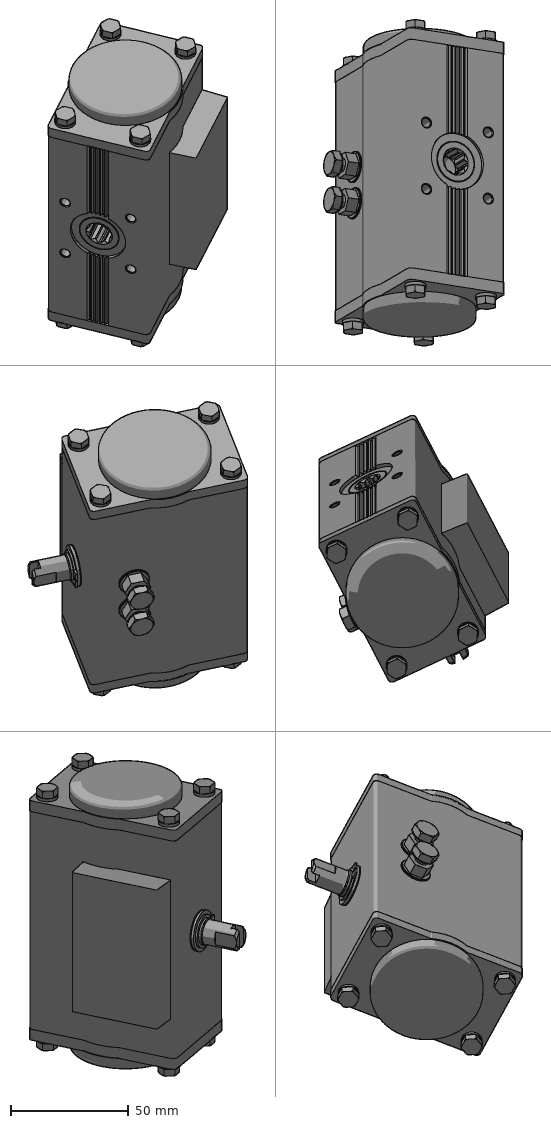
import cadquery as cq
import math


half_width = 23.1
half_depth = 35.0
lobe_radius = 24.6
housing_half_height = 51.1
housing_corner = 2.2
lobe_blend = 2.5

spigot_diameter = 25.0
spigot_depth = 1.5
groove_mouth_width = 1.7
groove_floor_width = 0.6
groove_depth = 1.1
groove_pitch = 2.0
groove_count = 5
mount_offset = 14.8
mount_diameter = 4.1
mount_mouth_diameter = 4.9
mount_depth = 10.0
drill_tip_angle = 118.0

cap_thickness = 5.1
cap_corner = 1.9
dome_radius = 24.1
dome_rim_height = 3.7
dome_edge_radius = 22.7
dome_flat_radius = 19.0
crown_rise = 0.5
overall_half_height = 62.4
bolt_x = 17.0
bolt_y = 28.9
bolt_flange_diameter = 9.0
bolt_flange_thickness = 1.4
bolt_head_flats = 8.0
bolt_head_height = 3.4
bolt_crown_diameter = 8.6

pinion_diameter = 18.0
pinion_collar_diameter = 18.2
pinion_neck_diameter = 17.5
pinion_end_chamfer = 0.2
neck_width = 0.4
pinion_shoulder_y = 36.8
journal_diameter = 12.0
journal_end_y = 39.2
journal_chamfer = 0.5
cone_base_diameter = 11.2
cone_end_y = 39.9
stem_diameter = 10.8
stem_end_y = 55.0
stem_chamfer = 1.0
stem_flats = 9.0
flats_start_y = 45.0
slot_width = 4.0
slot_depth = 3.9
socket_diameter = 12.0
socket_square = 9.0
socket_drill_diameter = 10.0
socket_depth = 10.0
socket_countersink = 1.0

circlip_outer_diameter = 14.7
circlip_inner_diameter = 10.8
circlip_thickness = 0.9
circlip_ear_reach = 9.0
circlip_ear_half_span = 4.1
circlip_gap = 0.9

block_outer_x = 34.9
block_half_height = 32.7
block_base_y = (-8.7, 32.8)
block_foot_width = 0.7
block_foot_flare = 0.2
block_outer_y = (-8.2, 32.0)
block_edge_radius = 0.5

screw_y = 15.8
screw_z = 8.1
screw_washer_diameter = 13.5
screw_washer_chamfer = 0.2
screw_washer_thickness = 0.7
screw_hex_flats = 10.0
nut_thickness = 5.1
shank_diameter = 6.0
shank_length = 2.1
screw_collar_thickness = 0.5
screw_head_thickness = 3.7
screw_face_diameter = 10.0
hex_edge_rise = 0.5


def corner_diameter(flats):
    return flats / math.cos(math.pi / 6)


def front_plane(y):
    """Workplane at the given Y, extruding toward +Y, with local x = X and local y = -Z."""
    return cq.Workplane("XZ", origin=(0, y, 0)).transformed(rotate=(180, 0, 0))


def body_outline(height, corner):
    """Rounded rectangle merged with the round cylinder wall, extruded up from Z = 0."""
    box = cq.Workplane("XY").rect(2 * half_width, 2 * half_depth).extrude(height)
    box = box.edges("|Z").fillet(corner)
    return box.union(cq.Workplane("XY").circle(lobe_radius).extrude(height))


def drill_tip(diameter):
    return diameter / 2 / math.tan(math.radians(drill_tip_angle / 2))


def mounting_hole(face_y):
    """Cutter for one blind hole with a countersunk mouth, around the Y axis."""
    mouth = mount_mouth_diameter / 2
    bore = mount_diameter / 2
    bottom = face_y + mount_depth
    return (
        cq.Workplane("XY")
        .polyline([
            (0, face_y),
            (mouth, face_y),
            (bore, face_y + mouth - bore),
            (bore, bottom),
            (0, bottom + drill_tip(mount_diameter)),
        ])
        .close()
        .revolve(360, (0, 0, 0), (0, 1, 0))
    )


def make_housing():
    height = 2 * housing_half_height
    body = body_outline(height, housing_corner).translate((0, 0, -housing_half_height))
    lobe_half_chord = math.sqrt(lobe_radius**2 - half_width**2)
    for x in (-half_width, half_width):
        for y in (-lobe_half_chord, lobe_half_chord):
            body = body.edges(cq.selectors.NearestToPointSelector((x, y, 0))).fillet(lobe_blend)

    groove = (
        cq.Workplane("XY", origin=(0, -half_depth, -housing_half_height))
        .polyline([
            (-groove_mouth_width / 2, 0),
            (groove_mouth_width / 2, 0),
            (groove_floor_width / 2, groove_depth),
            (-groove_floor_width / 2, groove_depth),
        ])
        .close()
        .extrude(height)
    )
    for i in range(groove_count):
        x = (i - (groove_count - 1) / 2) * groove_pitch
        body = body.cut(groove.translate((x, 0, 0)))

    body = body.cut(front_plane(-half_depth).circle(spigot_diameter / 2).extrude(spigot_depth))
    body = body.cut(front_plane(-half_depth).circle(pinion_diameter / 2).extrude(2 * half_depth))

    hole = mounting_hole(-half_depth)
    for x in (-mount_offset, mount_offset):
        for z in (-mount_offset, mount_offset):
            body = body.cut(hole.translate((x, 0, z)))
    return body


def hex_head(flats, height, face_diameter):
    """Hexagon from Z = 0 up, corners on X, corners turned down at the upper end."""
    corner = corner_diameter(flats) / 2
    head = cq.Workplane("XY").polygon(6, 2 * corner).extrude(height)
    envelope = (
        cq.Workplane("XZ")
        .polyline([
            (0, 0),
            (corner, 0),
            (corner, height - hex_edge_rise),
            (face_diameter / 2, height),
            (0, height),
        ])
        .close()
        .revolve(360, (0, 0, 0), (0, 1, 0))
    )
    return head.intersect(envelope)


def make_upper_cap():
    plate_top = housing_half_height + cap_thickness
    plate = body_outline(cap_thickness, cap_corner).translate((0, 0, housing_half_height))

    rim_top = plate_top + dome_rim_height
    crown_start = overall_half_height - crown_rise
    mid = math.sin(math.pi / 4)
    dome = (
        cq.Workplane("XZ")
        .moveTo(0, housing_half_height)
        .lineTo(dome_radius, housing_half_height)
        .lineTo(dome_radius, rim_top)
        .threePointArc(
            (dome_edge_radius + (dome_radius - dome_edge_radius) * mid,
             rim_top + (crown_start - rim_top) * mid),
            (dome_edge_radius, crown_start))
        .lineTo(dome_flat_radius, overall_half_height)
        .lineTo(0, overall_half_height)
        .close()
        .revolve(360, (0, 0, 0), (0, 1, 0))
    )
    cap = plate.union(dome)

    flange = cq.Workplane("XY").circle(bolt_flange_diameter / 2).extrude(bolt_flange_thickness)
    head = hex_head(bolt_head_flats, bolt_head_height, bolt_crown_diameter)
    bolt = flange.union(head.translate((0, 0, bolt_flange_thickness)))
    for x in (-bolt_x, bolt_x):
        for y in (-bolt_y, bolt_y):
            cap = cap.union(bolt.translate((x, y, plate_top)))
    return cap


def make_pinion():
    floor_y = spigot_depth - half_depth
    outer = pinion_diameter / 2
    collar = pinion_collar_diameter / 2
    neck = pinion_neck_diameter / 2
    journal = journal_diameter / 2
    groove = circlip_inner_diameter / 2
    stem = stem_diameter / 2
    groove_end_y = pinion_shoulder_y + circlip_thickness
    pinion = (
        cq.Workplane("XY")
        .polyline([
            (0, floor_y),
            (outer - pinion_end_chamfer, floor_y),
            (outer, floor_y + pinion_end_chamfer),
            (outer, half_depth),
            (neck, half_depth),
            (neck, half_depth + neck_width),
            (collar, half_depth + neck_width),
            (collar, pinion_shoulder_y),
            (groove, pinion_shoulder_y),
            (groove, groove_end_y),
            (journal, groove_end_y),
            (journal, journal_end_y - journal_chamfer),
            (journal - journal_chamfer / 2, journal_end_y),
            (cone_base_diameter / 2, journal_end_y),
            (stem, cone_end_y),
            (stem, stem_end_y - stem_chamfer),
            (stem - stem_chamfer, stem_end_y),
            (0, stem_end_y),
        ])
        .close()
        .revolve(360, (0, 0, 0), (0, 1, 0))
    )

    flats_length = stem_end_y - flats_start_y
    flats_blank = front_plane(flats_start_y).rect(stem_flats, stem_diameter).extrude(flats_length)
    flats_zone = front_plane(flats_start_y).rect(2 * stem_diameter, 2 * stem_diameter).extrude(flats_length)
    pinion = pinion.cut(flats_zone.cut(flats_blank))
    slot = front_plane(stem_end_y - slot_depth).rect(slot_width, 2 * stem_diameter).extrude(slot_depth)
    pinion = pinion.cut(slot)

    mouth = front_plane(floor_y)
    square = mouth.rect(socket_square, socket_square).extrude(socket_depth)
    star = square.union(square.rotate((0, 0, 0), (0, 1, 0), 45))
    star = star.intersect(mouth.circle(socket_diameter / 2).extrude(socket_depth))
    drill = socket_drill_diameter / 2
    bottom_y = floor_y + socket_depth
    pilot = (
        cq.Workplane("XY")
        .polyline([
            (0, floor_y),
            (drill + socket_countersink, floor_y),
            (drill, floor_y + socket_countersink),
            (drill, bottom_y),
            (0, bottom_y + drill_tip(socket_drill_diameter)),
        ])
        .close()
        .revolve(360, (0, 0, 0), (0, 1, 0))
    )
    return pinion.cut(star.union(pilot))


def make_circlip():
    base = front_plane(pinion_shoulder_y)
    ring = base.circle(circlip_outer_diameter / 2).extrude(circlip_thickness)
    ears = (
        base.center(-circlip_ear_reach / 2, 0)
        .rect(circlip_ear_reach, 2 * circlip_ear_half_span)
        .extrude(circlip_thickness)
    )
    bore = base.circle(circlip_inner_diameter / 2).extrude(circlip_thickness)
    gap = (
        base.center(-circlip_ear_reach / 2, 0)
        .rect(circlip_ear_reach, circlip_gap)
        .extrude(circlip_thickness)
    )
    return ring.union(ears).cut(bore).cut(gap)


def make_block(housing):
    base_low, base_high = block_base_y
    outer_low, outer_high = block_outer_y
    block = (
        cq.Workplane("XY", origin=(0, 0, -block_half_height))
        .polyline([
            (half_width, base_low - block_foot_flare),
            (half_width + block_foot_width, base_low),
            (block_outer_x, outer_low),
            (block_outer_x, outer_high),
            (half_width, base_high),
        ])
        .close()
        .extrude(2 * block_half_height)
        .edges("|Z and >X")
        .fillet(block_edge_radius)
    )
    return block.cut(housing)


def make_stop_screw():
    """Washer, lock nut, shank and head stacked along +Z from the mounting face."""
    hex_corner = corner_diameter(screw_hex_flats)
    stack = (
        cq.Workplane("XY")
        .circle(screw_washer_diameter / 2)
        .extrude(screw_washer_thickness)
        .faces(">Z")
        .chamfer(screw_washer_chamfer)
        .faces(">Z")
        .workplane()
        .polygon(6, hex_corner)
        .extrude(nut_thickness)
        .faces(">Z")
        .workplane()
        .circle(shank_diameter / 2)
        .extrude(shank_length)
        .faces(">Z")
        .workplane()
        .circle(screw_face_diameter / 2)
        .extrude(screw_collar_thickness)
    )
    head_start = screw_washer_thickness + nut_thickness + shank_length + screw_collar_thickness
    head = hex_head(screw_hex_flats, screw_head_thickness, screw_face_diameter)
    screw = stack.union(head.translate((0, 0, head_start)))
    return screw.rotate((0, 0, 0), (0, 0, 1), 90).rotate((0, 0, 0), (0, 1, 0), -90)


housing = make_housing()
upper_cap = make_upper_cap()
lower_cap = upper_cap.mirror("XY")
pinion = make_pinion()
circlip = make_circlip()
block = make_block(housing)
stop_screw = make_stop_screw()
stop_screws = [
    stop_screw.translate((-half_width, screw_y, z))
    for z in (-screw_z, screw_z)
]

result = cq.Compound.makeCompound([
    housing.solids().val(),
    upper_cap.solids().val(),
    lower_cap.solids().val(),
    pinion.solids().val(),
    circlip.solids().val(),
    block.solids().val(),
    *[screw.solids().val() for screw in stop_screws],
])